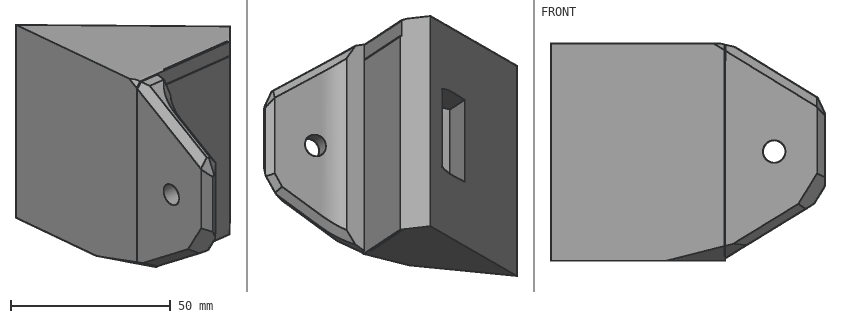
import cadquery as cq
import math

LENGTH = 85.9
DEPTH = 47.4
HEIGHT = 68.0

JOINT_X = 54.6
GAP_WIDTH = 0.3
GAP_DEPTH = 5.3

SLIT_X = 53.8
SLIT_WIDTH = 0.1
SLIT_START_Y = 12.4
SLIT_END_Y = 39.85

POCKET_Z = 34.0
MOUTH_X = 28.7
MOUTH_Y = 29.2
MOUTH_HALF = 13.2
WAIST_X = 40.8
WAIST_Y = 28.2
WAIST_HALF = 12.6
FLOOR_X = 48.1
FLOOR_Y = 25.8
FLOOR_RADIUS = 10.05

ROOT_THICKNESS = 8.8
PLATE_THICKNESS = 6.0
HOLLOW_RADIUS = 11.3
HOLLOW_END_X = 67.9
HOLLOW_SWEEP = 60.0

SIDE_ANGLE = 31.5
UPPER_SIDE_X = 55.8
LOWER_SIDE_X = 53.3
UPPER_CORNER_X = 83.6
UPPER_CORNER_Z = 46.0
LOWER_CORNER_X = 82.8
LOWER_CORNER_Z = 23.2
HOLE_DIAMETER = 7.0
HOLE_X = 69.9
HOLE_Z = 34.2

BACK_CHAMFER = 2.3
FRONT_BEVEL = 2.6
LOWER_BEVEL_START_X = 77.5
LOWER_BEVEL_END_Z = 27.3
LOWER_BEVEL_TIP_Z = 26.1
UPPER_BEVEL_END_Z = 48.0
FOOT_START_X = 36.1
FOOT_MIDDLE_X = 55.4
FOOT_END_X = 61.3
FOOT_HEIGHT = 4.9
TOP_FACET_START_X = 53.1
TOP_FACET_END_X = 57.55

SIDE_SLOPE = math.tan(math.radians(SIDE_ANGLE))
BEVEL_DROP = FRONT_BEVEL / math.cos(math.radians(SIDE_ANGLE))
CHAMFER_DROP = BACK_CHAMFER / math.cos(math.radians(SIDE_ANGLE))
RIM_MIDDLE_Y = (FRONT_BEVEL + PLATE_THICKNESS - BACK_CHAMFER) / 2
CUTTER_SIZE = 3 * LENGTH
PICK_MARGIN = 0.1


def upper_side_z(x):
    return HEIGHT - SIDE_SLOPE * (x - UPPER_SIDE_X)


def lower_side_z(x):
    return SIDE_SLOPE * (x - LOWER_SIDE_X)


def bevel_cutter(a, b, c, behind=False):
    """Large block in front (-Y) of the plane through three points, or behind it (+Y)."""
    origin = cq.Vector(*a)
    normal = (cq.Vector(*b) - origin).cross(cq.Vector(*c) - origin)
    if (normal.y > 0) != behind:
        normal = -normal
    plane = cq.Plane(origin=a, normal=normal.toTuple())
    return cq.Workplane(plane).rect(CUTTER_SIZE, CUTTER_SIZE).extrude(CUTTER_SIZE)


def front_bevel_cutters():
    """Bevels around the front face; the upper one and the foot run across both bodies."""
    inner_x = LENGTH - FRONT_BEVEL
    upper_side = bevel_cutter(
        (JOINT_X, 0, upper_side_z(JOINT_X) - BEVEL_DROP),
        (LENGTH, 0, upper_side_z(LENGTH) - BEVEL_DROP),
        (LENGTH, FRONT_BEVEL, upper_side_z(LENGTH)),
    )
    lower_side = bevel_cutter(
        (JOINT_X, 0, lower_side_z(JOINT_X) + BEVEL_DROP),
        (LENGTH, 0, lower_side_z(LENGTH) + BEVEL_DROP),
        (LENGTH, FRONT_BEVEL, lower_side_z(LENGTH)),
    )
    end = bevel_cutter((inner_x, 0, 0), (inner_x, 0, HEIGHT), (LENGTH, FRONT_BEVEL, 0))
    lower_corner = bevel_cutter(
        (inner_x, 0, LOWER_BEVEL_END_Z),
        (LOWER_BEVEL_START_X, 0, lower_side_z(LOWER_BEVEL_START_X) + BEVEL_DROP),
        (LENGTH, FRONT_BEVEL, LOWER_BEVEL_TIP_Z),
    )
    upper_corner = bevel_cutter(
        (inner_x, 0, UPPER_BEVEL_END_Z),
        (UPPER_CORNER_X, RIM_MIDDLE_Y, upper_side_z(UPPER_CORNER_X)),
        (LENGTH, RIM_MIDDLE_Y, UPPER_CORNER_Z),
    )
    foot = bevel_cutter(
        (FOOT_START_X, 0, 0),
        (FOOT_MIDDLE_X, 0, FOOT_HEIGHT),
        (FOOT_END_X, FRONT_BEVEL, FOOT_HEIGHT),
    )
    return [upper_side, lower_side, end, lower_corner, upper_corner, foot]


def top_facet_cutter():
    facet_slope = (HEIGHT - upper_side_z(TOP_FACET_END_X)) / (TOP_FACET_END_X - TOP_FACET_START_X)
    end_z = HEIGHT - facet_slope * (LENGTH - TOP_FACET_START_X)
    outline = [(TOP_FACET_START_X, HEIGHT), (LENGTH, HEIGHT), (LENGTH, end_z)]
    return cq.Workplane("XZ").polyline(outline).close().extrude(-DEPTH)


def break_shared_edges(body):
    """Cut the bevels and the top facet, which line up across both bodies."""
    for cutter in front_bevel_cutters():
        body = body.cut(cutter)
    return body.cut(top_facet_cutter())


def pocket_plane(x, y):
    """Sketch plane across the pocket, with local axes along Y and Z."""
    return cq.Workplane(cq.Plane(origin=(x, y, POCKET_Z), xDir=(0, 1, 0), normal=(1, 0, 0)))


def square_section(x, y, half):
    corners = [(-half, -half), (half, -half), (half, half), (-half, half)]
    return pocket_plane(x, y).polyline(corners).close().wire().val()


def round_section(x, y, radius):
    """Circle in four arcs, split on the diagonals to match the corners of a square."""
    k = radius / math.sqrt(2)
    return (
        pocket_plane(x, y)
        .moveTo(-k, -k)
        .threePointArc((0, -radius), (k, -k))
        .threePointArc((radius, 0), (k, k))
        .threePointArc((0, radius), (-k, k))
        .threePointArc((-radius, 0), (-k, -k))
        .wire()
        .val()
    )


def make_pocket():
    sections = [
        square_section(MOUTH_X, MOUTH_Y, MOUTH_HALF),
        square_section(WAIST_X, WAIST_Y, WAIST_HALF),
        round_section(FLOOR_X, FLOOR_Y, FLOOR_RADIUS),
    ]
    return cq.Workplane(cq.Solid.makeLoft(sections))


def make_gap():
    """Rebate along the front and top edges of the wedge's end face."""
    gap = cq.Workplane("XY").box(GAP_WIDTH, DEPTH, HEIGHT, centered=False)
    contact = (
        cq.Workplane("XY")
        .box(GAP_WIDTH, DEPTH, HEIGHT - GAP_DEPTH, centered=False)
        .translate((0, GAP_DEPTH, 0))
    )
    return gap.cut(contact).translate((JOINT_X - GAP_WIDTH, 0, 0))


def make_slit():
    return (
        cq.Workplane("XY")
        .box(SLIT_WIDTH, SLIT_END_Y - SLIT_START_Y, HEIGHT, centered=False)
        .translate((SLIT_X, SLIT_START_Y, 0))
    )


def make_wedge():
    end_y = DEPTH - (JOINT_X - DEPTH)
    outline = [(0, 0), (DEPTH, DEPTH), (JOINT_X, end_y), (JOINT_X, 0)]
    wedge = break_shared_edges(cq.Workplane("XY").polyline(outline).close().extrude(HEIGHT))
    return wedge.cut(make_pocket()).cut(make_gap()).cut(make_slit())


def hollow_point(angle):
    """Point on the hollow, by its angle in degrees from the end of the curve at the plate."""
    turn = math.radians(angle)
    x = HOLLOW_END_X - HOLLOW_RADIUS * math.sin(turn)
    y = PLATE_THICKNESS + HOLLOW_RADIUS * (1 - math.cos(turn))
    return (x, y)


def make_lug_profile():
    """Thickness of the lug, with the hollow run on past the root so its chamfer does too."""
    hollow_top = hollow_point(HOLLOW_SWEEP)
    return (
        cq.Workplane("XY")
        .moveTo(JOINT_X, 0)
        .lineTo(LENGTH, 0)
        .lineTo(LENGTH, PLATE_THICKNESS)
        .lineTo(HOLLOW_END_X, PLATE_THICKNESS)
        .threePointArc(hollow_point(HOLLOW_SWEEP / 2), hollow_top)
        .lineTo(JOINT_X, hollow_top[1])
        .close()
        .extrude(HEIGHT)
    )


def make_lug_outline():
    outline = [
        (JOINT_X, lower_side_z(JOINT_X)),
        (LOWER_CORNER_X, lower_side_z(LOWER_CORNER_X)),
        (LENGTH, LOWER_CORNER_Z),
        (LENGTH, upper_side_z(LENGTH)),
        (UPPER_SIDE_X, HEIGHT),
        (JOINT_X, HEIGHT),
    ]
    return cq.Workplane("XZ").polyline(outline).close().extrude(-DEPTH)


def chamfer_back(lug):
    """Chamfer the rim of the back: both sides along the hollow and plate, and the tip."""
    def is_rim(edge):
        middle = edge.Center()
        on_back = middle.y > PLATE_THICKNESS - PICK_MARGIN
        past_root = middle.x > JOINT_X + PICK_MARGIN
        at_tip = middle.x > LENGTH - PICK_MARGIN
        below_top = middle.z < HEIGHT - PICK_MARGIN
        upright = edge.BoundingBox().xlen < PICK_MARGIN
        return on_back and past_root and below_top and (at_tip or not upright)

    rim = [e for e in lug.edges().vals() if is_rim(e)]
    return lug.newObject(rim).chamfer(BACK_CHAMFER)


def back_corner_cutter():
    """Bevel on the back of the upper tip corner, meeting the front one along the corner's edge."""
    return bevel_cutter(
        (UPPER_CORNER_X, PLATE_THICKNESS, upper_side_z(UPPER_CORNER_X) - CHAMFER_DROP),
        (UPPER_CORNER_X, RIM_MIDDLE_Y, upper_side_z(UPPER_CORNER_X)),
        (LENGTH, RIM_MIDDLE_Y, UPPER_CORNER_Z),
        behind=True,
    )


def make_lug():
    lug = chamfer_back(make_lug_profile().intersect(make_lug_outline()))
    root_limit = cq.Workplane("XY").box(LENGTH, ROOT_THICKNESS, HEIGHT, centered=False)
    lug = break_shared_edges(lug.intersect(root_limit))
    hole = cq.Workplane("XZ").center(HOLE_X, HOLE_Z).circle(HOLE_DIAMETER / 2).extrude(-DEPTH)
    return lug.cut(back_corner_cutter()).cut(hole)


wedge = make_wedge()
lug = make_lug()
result = cq.Compound.makeCompound([wedge.solids().val(), lug.solids().val()])